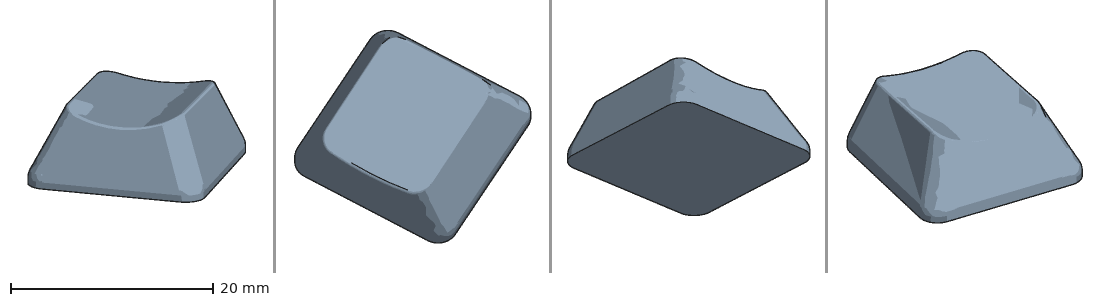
import cadquery as cq
import math

base_size = 18.16
base_corner_radius = 2.0
skirt_height = 0.67

shoulder_height = 0.67

side_lean = 0.49
front_lean = 0.53
back_lean = 0.083
body_height = 8.35
top_corner_radius = 1.9

dish_front_radius = 11.08
dish_back_radius = 19.98
dish_floor_height = 6.21
dish_length = 21.8
rim_slope = 0.04
rim_radius = 0.33


def make_section(height, lean_height, corner_radius, tilt=0):
    """Rounded rectangle at a height, each side moved in by its lean times lean_height.

    A tilt in degrees turns the section about its own X axis.
    """
    width = base_size - 2 * side_lean * lean_height
    depth = base_size - (front_lean + back_lean) * lean_height
    center_y = (front_lean - back_lean) * lean_height / 2
    return (
        cq.Sketch()
        .rect(width, depth)
        .vertices()
        .fillet(corner_radius)
        .moved(cq.Location(cq.Vector(0, center_y, height), cq.Vector(1, 0, 0), tilt))
    )


def shoulder_section(fraction):
    """Section part way up the shoulder, whose sides follow a parabola."""
    height = skirt_height + fraction * shoulder_height
    lean_height = fraction**2 * shoulder_height / 2
    return make_section(height, lean_height, base_corner_radius)


def make_body():
    """Straight skirt, curved shoulder and four leaning walls, stacked."""
    shoulder_bottom = shoulder_section(0)
    shoulder_middle = shoulder_section(0.5)
    shoulder_top = shoulder_section(1)
    rim_tilt = -math.degrees(math.atan(rim_slope))
    wall_lean_height = body_height - skirt_height - shoulder_height / 2
    wall_top = make_section(body_height, wall_lean_height, top_corner_radius, rim_tilt)

    skirt = cq.Workplane("XY").placeSketch(make_section(0, 0, base_corner_radius)).extrude(skirt_height)
    shoulder = cq.Workplane("XY").placeSketch(shoulder_bottom, shoulder_middle, shoulder_top).loft()
    walls = cq.Workplane("XY").placeSketch(shoulder_top, wall_top).loft(ruled=True)
    return skirt.union(shoulder).union(walls)


def dish_circle(radius, y):
    """Upright circle at the given Y, resting on the floor of the dish."""
    center = cq.Vector(0, y, dish_floor_height + radius)
    return cq.Wire.makeCircle(radius, center, cq.Vector(0, 1, 0))


def make_dish():
    """Cone that hollows the top."""
    front = dish_circle(dish_front_radius, -dish_length / 2)
    back = dish_circle(dish_back_radius, dish_length / 2)
    return cq.Workplane(cq.Solid.makeLoft([front, back], True))


def round_rim(body):
    """Round the edge between the dished top and the walls."""
    dish_floor = cq.selectors.NearestToPointSelector((0, 0, dish_floor_height))
    return body.faces(dish_floor).edges().fillet(rim_radius)


result = round_rim(make_body().cut(make_dish()))